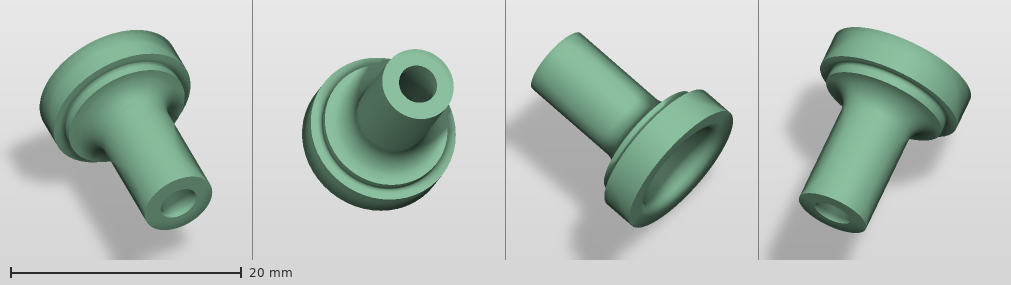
import cadquery as cq
import math

length = 15.0
flange_diameter = 13.0
flange_thickness = 3.0
step_diameter = 11.0
step_thickness = 1.0
step_fillet = 0.1
shank_diameter = 6.4
shank_fillet = 2.0

bore_diameter = 3.4
mouth_diameter = 10.41
lip_radius = 1.0
throat_radius = 10.0
cone_half_angle = math.radians(27.5)


def make_body():
    """Flange, step and shank, with concave fillets at both inner corners."""
    flange_radius = flange_diameter / 2
    step_radius = step_diameter / 2
    shank_radius = shank_diameter / 2
    step_end = flange_thickness + step_thickness
    diagonal = 1 - math.sqrt(0.5)
    profile = (
        cq.Workplane("XY")
        .lineTo(0, flange_radius)
        .lineTo(flange_thickness, flange_radius)
        .lineTo(flange_thickness, step_radius + step_fillet)
        .threePointArc(
            (flange_thickness + step_fillet * diagonal, step_radius + step_fillet * diagonal),
            (flange_thickness + step_fillet, step_radius),
        )
        .lineTo(step_end, step_radius)
        .lineTo(step_end, shank_radius + shank_fillet)
        .threePointArc(
            (step_end + shank_fillet * diagonal, shank_radius + shank_fillet * diagonal),
            (step_end + shank_fillet, shank_radius),
        )
        .lineTo(length, shank_radius)
        .lineTo(length, 0)
        .close()
    )
    return profile.revolve(360, (0, 0, 0), (1, 0, 0))


def make_passage():
    """Rounded lip, tangent cone and tangent throat leading into the through bore."""
    mouth_radius = mouth_diameter / 2
    bore_radius = bore_diameter / 2

    def lip_point(angle):
        return (
            lip_radius * (1 - math.sin(angle)),
            mouth_radius - lip_radius * math.cos(angle),
        )

    lip_middle = lip_point((math.pi / 2 + cone_half_angle) / 2)
    cone_start = lip_point(cone_half_angle)

    cone_end_radius = bore_radius + throat_radius * (1 - math.cos(cone_half_angle))
    cone_length = (cone_start[1] - cone_end_radius) / math.tan(cone_half_angle)
    throat_end = cone_start[0] + cone_length + throat_radius * math.sin(cone_half_angle)

    def throat_point(angle):
        return (
            throat_end - throat_radius * math.sin(angle),
            bore_radius + throat_radius * (1 - math.cos(angle)),
        )

    profile = (
        cq.Workplane("XY")
        .lineTo(0, mouth_radius)
        .threePointArc(lip_middle, cone_start)
        .lineTo(*throat_point(cone_half_angle))
        .threePointArc(throat_point(cone_half_angle / 2), (throat_end, bore_radius))
        .lineTo(length, bore_radius)
        .lineTo(length, 0)
        .close()
    )
    return profile.revolve(360, (0, 0, 0), (1, 0, 0))


result = make_body().cut(make_passage())